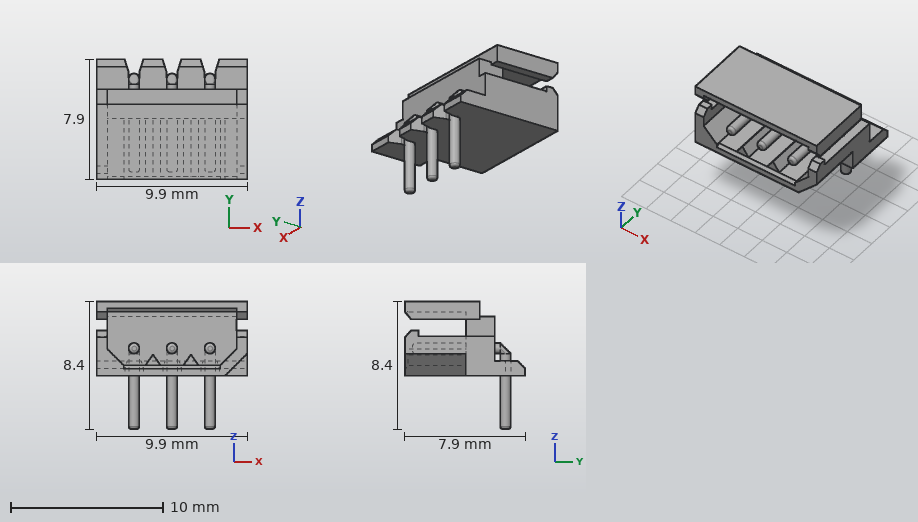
import cadquery as cq


width = 9.9
half_width = width / 2
wall = 0.69
body_depth = 5.91
body_height = 2.6
depth = 7.9
flange_height = 0.99
flange_chamfer = 0.495

bump_top = 2.99
bump_back = 0.91
nose_length = 0.42
bump_nose_drop = 0.46
roof_nose_rise = 0.5

total_height = 4.89
roof_depth = 4.93
roof_rim_bottom = 3.7
block_top = 3.9

cavity_half_width = half_width - wall
cavity_depth = 4.01
cavity_floor = 0.69
cavity_ceiling = 4.2
cavity_corner = 1.08
floor_half_width = cavity_half_width - cavity_corner
lead_in_height = 0.24
lead_in_depth = 0.21

key_leg = 1.47

overall_height = 8.4
pin_count = 3
pitch = 2.49
pin_diameter = 0.7
pin_radius = pin_diameter / 2
pin_height = 1.81
pin_front = 0.495
pin_row_y = 6.61
pin_bottom = total_height - overall_height
pin_rounding = 0.2
pin_xs = [(i - (pin_count - 1) / 2) * pitch for i in range(pin_count)]

ridge_width = 0.99
ridge_height = 0.7
ridge_xs = [(left + right) / 2 for left, right in zip(pin_xs, pin_xs[1:])]

slot_mouth_width = 1.23
slot_mouth_depth = 0.83


def prism_x(points, x_start, x_end):
    """Extrude a (y, z) outline along X."""
    return cq.Workplane("YZ", origin=(x_start, 0, 0)).polyline(points).close().extrude(x_end - x_start)


def prism_y(points, y_start, y_end):
    """Extrude an (x, z) outline along Y."""
    return cq.Workplane("XZ", origin=(0, y_start, 0)).polyline(points).close().extrude(y_start - y_end)


def make_housing():
    base = prism_x(
        [
            (0, 0),
            (depth, 0),
            (depth, flange_height - flange_chamfer),
            (depth - flange_chamfer, flange_height),
            (body_depth, flange_height),
            (body_depth, body_height),
            (bump_back, body_height),
            (bump_back, bump_top),
            (nose_length, bump_top),
            (0, bump_top - bump_nose_drop),
        ],
        -half_width,
        half_width,
    )
    roof = prism_x(
        [
            (0, total_height),
            (roof_depth, total_height),
            (roof_depth, roof_rim_bottom),
            (nose_length, roof_rim_bottom),
            (0, roof_rim_bottom + roof_nose_rise),
        ],
        -half_width,
        half_width,
    )
    block = prism_x(
        [
            (cavity_depth, 0),
            (body_depth, 0),
            (body_depth, block_top),
            (cavity_depth, block_top),
        ],
        -cavity_half_width,
        cavity_half_width,
    )
    return base.union(roof).union(block)


def make_cavity():
    corner_top = cavity_floor + cavity_corner
    pocket = prism_y(
        [
            (-floor_half_width, cavity_floor),
            (floor_half_width, cavity_floor),
            (cavity_half_width, corner_top),
            (cavity_half_width, cavity_ceiling),
            (-cavity_half_width, cavity_ceiling),
            (-cavity_half_width, corner_top),
        ],
        0,
        cavity_depth,
    )
    floor_lead_in = prism_x(
        [(0, cavity_floor - lead_in_height), (lead_in_depth, cavity_floor), (0, cavity_floor)],
        -floor_half_width,
        floor_half_width,
    )
    ceiling_lead_in = prism_x(
        [(0, cavity_ceiling), (lead_in_depth, cavity_ceiling), (0, cavity_ceiling + lead_in_height)],
        -cavity_half_width,
        cavity_half_width,
    )
    return pocket.union(floor_lead_in).union(ceiling_lead_in)


def make_key_cut():
    return prism_y(
        [(half_width - key_leg, 0), (half_width, 0), (half_width, key_leg)],
        0,
        cavity_depth,
    )


def make_ridge(x):
    return prism_y(
        [
            (x - ridge_width / 2, cavity_floor),
            (x + ridge_width / 2, cavity_floor),
            (x, cavity_floor + ridge_height),
        ],
        lead_in_depth,
        cavity_depth,
    )


def make_slot(x):
    """Flange slot with a flared mouth and a round end seated on the vertical pin leg."""
    mouth_start = depth - slot_mouth_depth
    return (
        cq.Workplane("XY")
        .moveTo(x - pin_radius, pin_row_y)
        .lineTo(x - pin_radius, mouth_start)
        .lineTo(x - slot_mouth_width / 2, depth)
        .lineTo(x + slot_mouth_width / 2, depth)
        .lineTo(x + pin_radius, mouth_start)
        .lineTo(x + pin_radius, pin_row_y)
        .threePointArc((x, pin_row_y - pin_radius), (x - pin_radius, pin_row_y))
        .close()
        .extrude(flange_height)
    )


def make_pin(x):
    """Round pin bent down 90 degrees, with a straight 45 degree elbow and rounded tips."""
    elbow_y = pin_row_y - pin_radius
    elbow_z = pin_height - pin_radius
    horizontal = (
        cq.Workplane("XZ", origin=(x, pin_front, pin_height))
        .circle(pin_radius)
        .extrude(pin_front - elbow_y)
        .faces("<Y")
        .edges()
        .fillet(pin_rounding)
    )
    vertical = (
        cq.Workplane("XY", origin=(x, pin_row_y, pin_bottom))
        .circle(pin_radius)
        .extrude(elbow_z - pin_bottom)
        .faces("<Z")
        .edges()
        .fillet(pin_rounding)
    )
    elbow_plane = cq.Plane(
        origin=(x, elbow_y - pin_radius, elbow_z + 2 * pin_radius),
        xDir=(1, 0, 0),
        normal=(0, 1, -1),
    )
    elbow_bar = cq.Workplane(elbow_plane).ellipse(pin_radius, pin_radius / 2**0.5)
    elbow_bar = elbow_bar.extrude(3 * pin_diameter)
    quadrant = cq.Workplane("XY", origin=(x, elbow_y, elbow_z)).box(
        2 * pin_diameter, pin_diameter, pin_diameter, centered=(True, False, False)
    )
    elbow = elbow_bar.intersect(quadrant)
    return horizontal.union(elbow).union(vertical)


result = make_housing().cut(make_cavity()).cut(make_key_cut())
for ridge_x in ridge_xs:
    result = result.union(make_ridge(ridge_x))
for pin_x in pin_xs:
    result = result.cut(make_slot(pin_x)).union(make_pin(pin_x))